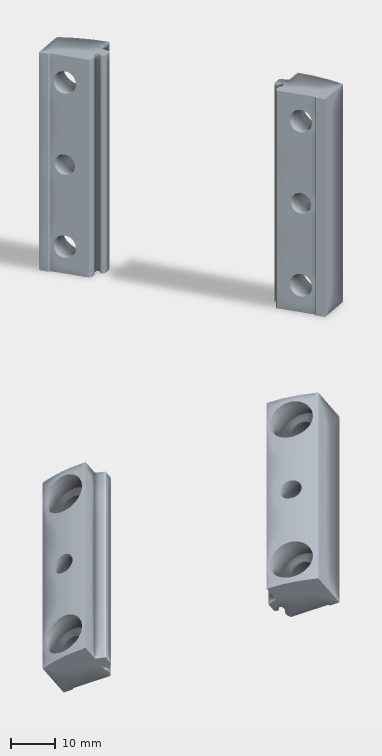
import cadquery as cq

total_width = 70.6
depth = 12.2
height = 53.0
half_width = total_width / 2

block_width = 12.15
crown_drop = 2.1
crown_radius = (block_width**2 + crown_drop**2) / (2 * crown_drop)

pad_width = 2.3
pad_height = 0.4

bead_reach = 0.6
bead_top = 3.25

tongue_reach = 2.3
tongue_root = 7.7
tongue_shoulder = 7.05
tip_round = 0.2
hook_start = 4.4
hook_reach = 1.8
hook_bottom = 3.9
groove_width = 1.0
groove_edge = 4.6
groove_top = 4.8
groove_end = 4.5

hole_inset = 6.2
hole_pitch = 20.0
middle_hole_diameter = 5.0
bolt_hole_diameter = 5.5
counterbore_diameter = 10.0
counterbore_depth = 5.65


def jaw_profile():
    """Closed XY outline of the right-hand jaw, clockwise from its outer front corner."""
    def x_at(inset):
        return half_width - inset

    inner = x_at(block_width)
    tip = inner - tongue_reach
    crown_mid_x = x_at(block_width / 2)
    crown_centre_y = depth - crown_radius
    crown_mid_y = crown_centre_y + (crown_radius**2 - (crown_mid_x - inner) ** 2) ** 0.5

    return (
        cq.Workplane("XY")
        .moveTo(half_width, 0)
        .lineTo(x_at(pad_width), 0)
        .lineTo(x_at(pad_width + pad_height), pad_height)
        .lineTo(inner, pad_height)
        .threePointArc((inner - bead_reach, (pad_height + bead_top) / 2), (inner, bead_top))
        .lineTo(inner, groove_end)
        .threePointArc((inner - groove_width / 2, groove_top), (inner - groove_width, groove_edge))
        .threePointArc((inner - hook_reach, hook_bottom), (tip, hook_start))
        .lineTo(tip, tongue_shoulder - tip_round)
        .lineTo(tip + tip_round, tongue_shoulder)
        .lineTo(inner, tongue_root)
        .lineTo(inner, depth)
        .threePointArc((crown_mid_x, crown_mid_y), (half_width, depth - crown_drop))
        .close()
    )


def bore(diameter, z, start_y):
    """Cylinder along Y from start_y to the back of the jaw."""
    return cq.Workplane(
        cq.Solid.makeCylinder(
            diameter / 2,
            depth - start_y,
            cq.Vector(half_width - hole_inset, start_y, z),
            cq.Vector(0, 1, 0),
        )
    )


def right_jaw():
    jaw = jaw_profile().extrude(height).translate((0, 0, -height / 2))
    jaw = jaw.cut(bore(middle_hole_diameter, 0, 0))
    for z in (-hole_pitch, hole_pitch):
        jaw = jaw.cut(bore(bolt_hole_diameter, z, 0))
        jaw = jaw.cut(bore(counterbore_diameter, z, depth - counterbore_depth))
    return jaw


right_body = right_jaw()
jaws = [right_body, right_body.mirror("YZ")]

result = cq.Compound.makeCompound([jaw.val() for jaw in jaws])